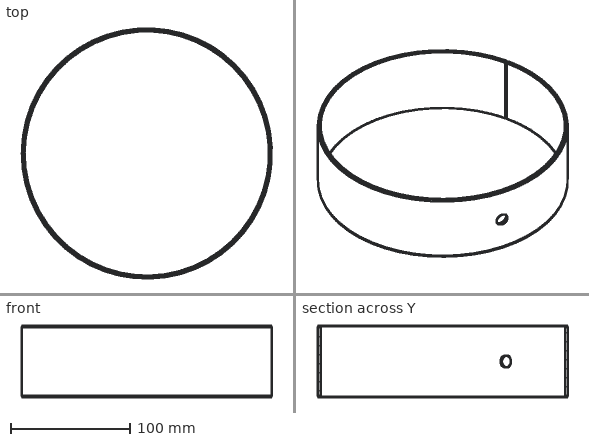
import cadquery as cq

outer_diameter = 210.0
height = 60.0
wall = 2.5
outer_radius = outer_diameter / 2
inner_radius = outer_radius - wall

outer_bevel_height = 1.7
outer_bevel_depth = 0.6
inner_bevel = 0.8

split_start_angle = 180.0
split_angle = 1.0

hole_diameter = 10.0
hole_angle_from_split = 120.0
hole_angle = split_start_angle - split_angle - hole_angle_from_split


def make_split_ring():
    """Revolve the bevelled wall section about Z, leaving the split open."""
    half = height / 2
    outer_shoulder = half - outer_bevel_height
    inner_shoulder = half - inner_bevel
    section = [
        (-inner_radius, -inner_shoulder),
        (-inner_radius - inner_bevel, -half),
        (-outer_radius + outer_bevel_depth, -half),
        (-outer_radius, -outer_shoulder),
        (-outer_radius, outer_shoulder),
        (-outer_radius + outer_bevel_depth, half),
        (-inner_radius - inner_bevel, half),
        (-inner_radius, inner_shoulder),
    ]
    sweep = 360 - split_angle
    return cq.Workplane("XZ").polyline(section).close().revolve(sweep, (0, 0), (0, 1))


def make_hole():
    """Radial cylinder from the axis out through one side of the wall."""
    drill = cq.Workplane("YZ").circle(hole_diameter / 2).extrude(outer_diameter)
    return drill.rotate((0, 0, 0), (0, 0, 1), hole_angle)


result = make_split_ring().cut(make_hole())